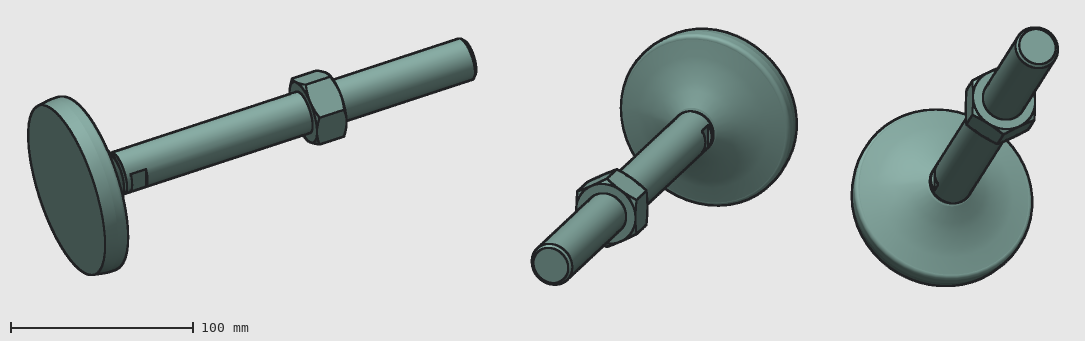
import cadquery as cq
import math

total_length = 244.0

pad_radius = 100.0 / 2
pad_base_radius = 48.8
taper_height = 7.5
rim_height = 12.0
shoulder_round = 2.5
shoulder_radius = pad_radius - shoulder_round
shoulder_height = rim_height + shoulder_round
flare_mid_radius = 27.3
flare_mid_height = 20.5
crown_edge_radius = 13.0
crown_edge_height = 28.8
crown_radius = 11.0
crown_height = 29.5

neck_radius = 10.0 / 2
spindle_radius = 24.0 / 2
spindle_start = 31.0
tip_chamfer = 1.7

flat_start = 34.2
flat_length = 9.3
flat_half_width = 10.0

nut_start = 143.7
nut_height = 18.0
nut_across_flats = 35.0
nut_corner_diameter = nut_across_flats / math.cos(math.radians(30))
nut_chamfer_angle = 30


def along_y(radius, start, length):
    """Cylinder on the Y axis, from start towards +Y."""
    return cq.Workplane("XZ", origin=(0, start, 0)).circle(radius).extrude(-length)


def make_pad():
    """Tapered rim with a rounded shoulder and a concave flare up to the crown."""
    diagonal = shoulder_round * math.sqrt(0.5)
    profile = (
        cq.Workplane("XY")
        .lineTo(pad_base_radius, 0)
        .lineTo(pad_radius, taper_height)
        .lineTo(pad_radius, rim_height)
        .threePointArc(
            (shoulder_radius + diagonal, rim_height + diagonal),
            (shoulder_radius, shoulder_height),
        )
        .threePointArc(
            (flare_mid_radius, flare_mid_height),
            (crown_edge_radius, crown_edge_height),
        )
        .lineTo(crown_radius, crown_height)
        .lineTo(0, crown_height)
        .close()
    )
    return profile.revolve(360, (0, 0), (0, 1))


def make_spindle():
    """Round rod with a chamfered tip and two opposite wrench flats."""
    rod = along_y(spindle_radius, spindle_start, total_length - spindle_start)
    rod = rod.faces(">Y").chamfer(tip_chamfer)
    flat_middle = flat_start + flat_length / 2
    for side in (-1, 1):
        cutter = cq.Workplane("XY").box(spindle_radius, flat_length, 2 * spindle_radius)
        cutter_x = side * (flat_half_width + spindle_radius / 2)
        rod = rod.cut(cutter.translate((cutter_x, flat_middle, 0)))
    return rod


def make_nut():
    """Hexagon with corners on +Z and -Z, its corners bevelled at both ends."""
    hexagon = (
        cq.Workplane("XZ", origin=(0, nut_start, 0))
        .transformed(rotate=(0, 0, 90))
        .polygon(6, nut_corner_diameter)
        .extrude(-nut_height)
    )
    corner_radius = nut_corner_diameter / 2
    bevel_width = corner_radius - nut_across_flats / 2
    bevel_height = bevel_width * math.tan(math.radians(nut_chamfer_angle))
    envelope = along_y(corner_radius, nut_start, nut_height)
    envelope = envelope.faces("<Y or >Y").chamfer(bevel_height, bevel_width)
    return hexagon.intersect(envelope)


neck = along_y(neck_radius, crown_height, spindle_start - crown_height)
result = make_pad().union(neck).union(make_spindle()).union(make_nut())